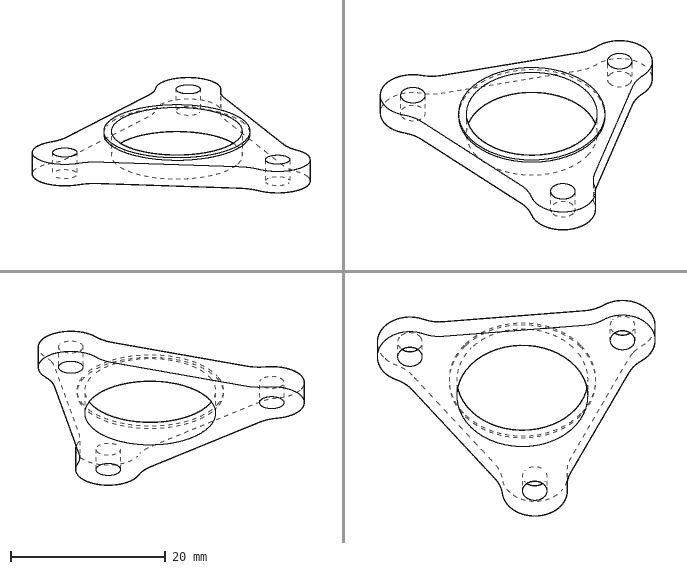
import cadquery as cq
import math

overall_width = 36.2
bolt_circle_radius = 16.0
side_distance = 11.0
fillet_radius = 5.0
plate_thickness = 3.0
overall_height = 3.35
bore_diameter = 17.0
rim_diameter = 19.0
bolt_hole_diameter = 3.2
lobe_count = 3

lobe_step = 360 / lobe_count
lobe_radius = overall_width / 2 - bolt_circle_radius * math.sin(math.radians(lobe_step))
lobe_angles = [i * lobe_step for i in range(lobe_count)]


def rotated(point, degrees):
    """Rotate a point about the part axis."""
    angle = math.radians(degrees)
    x, y = point
    return (
        x * math.cos(angle) - y * math.sin(angle),
        x * math.sin(angle) + y * math.cos(angle),
    )


def toward(start, target, distance):
    """Point at the given distance from start, in the direction of target."""
    dx = target[0] - start[0]
    dy = target[1] - start[1]
    ratio = distance / math.hypot(dx, dy)
    return (start[0] + dx * ratio, start[1] + dy * ratio)


def lobe_and_blend_points():
    """Side end, blend middle and lobe end for the +Y half of the lobe on +X."""
    normal_angle = lobe_step / 2
    lobe_center = rotated((bolt_circle_radius, 0), -normal_angle)
    blend_normal = side_distance + fillet_radius
    center_spacing = lobe_radius + fillet_radius
    along_side = math.sqrt(center_spacing**2 - (blend_normal - lobe_center[0]) ** 2)
    blend_center = (blend_normal, lobe_center[1] + along_side)

    side_end = (side_distance, blend_center[1])
    lobe_end = toward(lobe_center, blend_center, lobe_radius)
    chord_middle = ((side_end[0] + lobe_end[0]) / 2, (side_end[1] + lobe_end[1]) / 2)
    blend_middle = toward(blend_center, chord_middle, fillet_radius)
    return [rotated(p, normal_angle) for p in (side_end, blend_middle, lobe_end)]


def make_outline():
    """Three lobes joined by straight sides, traced counterclockwise."""
    side_end, blend_middle, lobe_end = lobe_and_blend_points()
    lobe_tip = (bolt_circle_radius + lobe_radius, 0)

    def mirrored(point):
        return (point[0], -point[1])

    outline = cq.Workplane("XY").moveTo(*mirrored(side_end))
    for angle in lobe_angles:
        if angle > 0:
            outline = outline.lineTo(*rotated(mirrored(side_end), angle))
        outline = outline.threePointArc(
            rotated(mirrored(blend_middle), angle), rotated(mirrored(lobe_end), angle)
        )
        outline = outline.threePointArc(rotated(lobe_tip, angle), rotated(lobe_end, angle))
        outline = outline.threePointArc(rotated(blend_middle, angle), rotated(side_end, angle))
    return outline.close()


plate = make_outline().extrude(plate_thickness)
rim = cq.Workplane("XY").circle(rim_diameter / 2).extrude(overall_height)

bore = cq.Workplane("XY").circle(bore_diameter / 2).extrude(overall_height)
bolt_holes = (
    cq.Workplane("XY")
    .pushPoints([rotated((bolt_circle_radius, 0), angle) for angle in lobe_angles])
    .circle(bolt_hole_diameter / 2)
    .extrude(plate_thickness)
)

result = plate.union(rim).cut(bore).cut(bolt_holes)